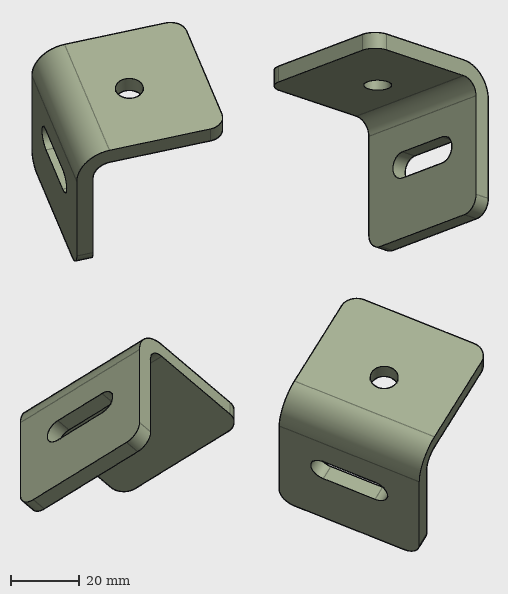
import cadquery as cq

side = 46.0
half = side / 2
thickness = 5.0
inner_bend_radius = 5.0
outer_bend_radius = inner_bend_radius + thickness
corner_radius = 5.0

hole_diameter = 8.2
slot_width = hole_diameter
slot_length = 25.2


def make_bent_plate():
    """L-shaped plate: top leg along Y, front leg along Z, bend at the front top edge."""
    plate = (
        cq.Workplane("YZ")
        .moveTo(-half, half)
        .lineTo(half, half)
        .lineTo(half, half - thickness)
        .lineTo(-half + thickness, half - thickness)
        .lineTo(-half + thickness, -half)
        .lineTo(-half, -half)
        .close()
        .extrude(half, both=True)
    )
    plate = plate.edges(cq.NearestToPointSelector((0, -half, half))).fillet(outer_bend_radius)
    inner_edge_point = (0, -half + thickness, half - thickness)
    return plate.edges(cq.NearestToPointSelector(inner_edge_point)).fillet(inner_bend_radius)


def round_free_corners(plate):
    """Round the two outer corners at the free end of each leg."""
    plate = plate.faces(">Y").edges("|Z").fillet(corner_radius)
    return plate.faces("<Z").edges("|Y").fillet(corner_radius)


def make_hole_cutter():
    """Round hole through the top leg."""
    return (
        cq.Workplane("XY")
        .workplane(offset=half - thickness)
        .circle(hole_diameter / 2)
        .extrude(thickness)
    )


def make_slot_cutter():
    """Horizontal round-ended slot through the front leg."""
    return (
        cq.Workplane("XZ")
        .workplane(offset=half - thickness)
        .slot2D(slot_length, slot_width)
        .extrude(thickness)
    )


bracket = round_free_corners(make_bent_plate())
result = bracket.cut(make_hole_cutter()).cut(make_slot_cutter())